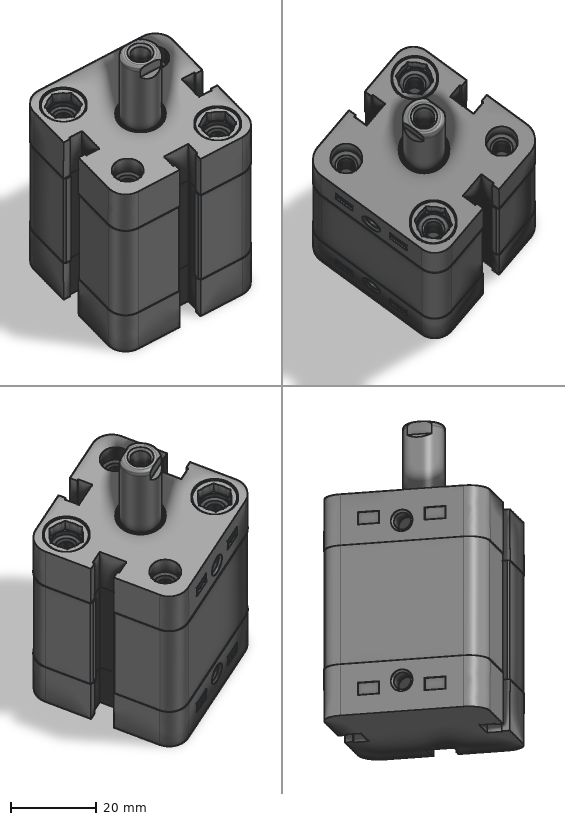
import cadquery as cq
import math

WIDTH = 40.0
CAP_END_WIDTH = 40.1
SEAM_WIDTH = 40.3
CORNER_RADIUS = 5.0
CAP_HEIGHT = 12.5
TUBE_HEIGHT = 29.0
BODY_TOP = 2 * CAP_HEIGHT + TUBE_HEIGHT
TOTAL_HEIGHT = 75.0

SLOT_SIDES = (0, 90, -90)
SLOT_WIDTH = 7.0
SLOT_DEPTH = 5.6
SLOT_LIP = 1.9
CAP_SLOT_OPENING = 6.0
TUBE_SLOT_OPENING = 5.4
TUBE_LIP_CHAMFER = 0.5

MOUNT_OFFSET = 13.0
SCREW_POINTS = [(MOUNT_OFFSET, MOUNT_OFFSET), (-MOUNT_OFFSET, -MOUNT_OFFSET)]
PLAIN_POINTS = [(MOUNT_OFFSET, -MOUNT_OFFSET), (-MOUNT_OFFSET, MOUNT_OFFSET)]
PLAIN_DIAMETER = 7.5
MOUNT_DEPTH = 4.5
SCREW_RIM_OUTER = 11.1
SCREW_RIM_INNER = 10.48
SCREW_RECESS = 0.3
HEX_SIZE = 7.7
HEX_BORE = 8.0
SOCKET_BORE = 7.5
HEX_DEPTH = 3.3
THREAD_DIAMETER = 4.13
THREAD_MOUTH = 5.3
MOUNT_THREAD_DEPTH = 7.0

PORT_HEIGHT = 7.5
PORT_DEPTH = 5.0
PANEL_WIDTH = 5.1
PANEL_HEIGHT = 3.0
PANEL_OFFSET = 8.1
PANEL_LEVEL = 6.2
PANEL_DEPTH = 0.5

ROD_DIAMETER = 10.0
ROD_EDGE_RADIUS = 1.2
ROD_FLATS = 8.0
ROD_FLAT_LENGTH = 3.1
ROD_THREAD_DIAMETER = 4.92
ROD_THREAD_MOUTH = 6.2
ROD_THREAD_DEPTH = 12.0
DRILL_POINT_ANGLE = 118.0
WIPER_SEAT = 12.0
WIPER_FOOT = 11.4
WIPER_LIP = 10.9
WIPER_BORE = 10.48
WIPER_DEPTH = 0.6


def countersunk_hole(plane, diameter, mouth, depth):
    """Cutter for a blind hole with a 45 degree mouth, going down from the plane."""
    sink = (mouth - diameter) / 2
    hole = cq.Workplane(plane).circle(diameter / 2).extrude(-depth)
    cone = cq.Workplane(plane).circle(mouth / 2).extrude(-sink, taper=45)
    return hole.union(cone)


def turned(points):
    """Solid of revolution about Z from (radius, height) points."""
    return cq.Workplane("XZ").polyline(points).close().revolve(360, (0, 0), (0, 1))


def slot_cutter(opening, lip_chamfer, bottom, height):
    """T-slot cutters for every slotted side, over one length of the body."""
    outside = SEAM_WIDTH / 2
    face = WIDTH / 2
    half_opening = opening / 2
    lip_end = face - SLOT_LIP
    half_slot = SLOT_WIDTH / 2
    half_mouth = half_opening + lip_chamfer
    half_outline = [(face - SLOT_DEPTH, half_slot), (lip_end, half_slot), (lip_end, half_opening)]
    if lip_chamfer > 0:
        half_outline.append((face - lip_chamfer, half_opening))
    half_outline += [(face, half_mouth), (outside, half_mouth)]
    mirrored = [(x, -y) for x, y in reversed(half_outline)]
    slot = (
        cq.Workplane("XY")
        .workplane(offset=bottom)
        .polyline(half_outline + mirrored)
        .close()
        .extrude(height)
    )
    cutter = cq.Workplane("XY")
    for angle in SLOT_SIDES:
        cutter = cutter.add(slot.rotate((0, 0, 0), (0, 0, 1), angle))
    return cutter.combine()


def rounded_square(width):
    """Square whose corner arcs keep their centres at every width."""
    radius = CORNER_RADIUS + (width - WIDTH) / 2
    square = cq.Sketch().rect(width, width).vertices().fillet(radius)
    return cq.Workplane("XY").placeSketch(square)


def cap_block():
    """Drafted cap standing on Z = 0, widest at its top, with ports, panels and slots."""
    draft_slope = (SEAM_WIDTH - CAP_END_WIDTH) / 2 / CAP_HEIGHT
    draft = math.degrees(math.atan(draft_slope))
    block = rounded_square(CAP_END_WIDTH).extrude(CAP_HEIGHT, taper=-draft)
    block = block.cut(slot_cutter(CAP_SLOT_OPENING, 0, 0, CAP_HEIGHT))

    port_face = -CAP_END_WIDTH / 2
    port_plane = cq.Plane(origin=(port_face, 0, PORT_HEIGHT), xDir=(0, 1, 0), normal=(-1, 0, 0))
    block = block.cut(countersunk_hole(port_plane, THREAD_DIAMETER, THREAD_MOUTH, PORT_DEPTH))
    block = block.cut(cq.Workplane(port_plane).circle(THREAD_MOUTH / 2).extrude(SEAM_WIDTH - CAP_END_WIDTH))

    panel_face = -(CAP_END_WIDTH / 2 + draft_slope * PANEL_LEVEL)
    for side in (-1, 1):
        panel = cq.Workplane("XY").box(2 * PANEL_DEPTH, PANEL_WIDTH, PANEL_HEIGHT)
        block = block.cut(panel.translate((panel_face, side * PANEL_OFFSET, PANEL_LEVEL)))
    return block


def make_base():
    return cap_block()


def make_tube():
    tube = rounded_square(WIDTH).extrude(TUBE_HEIGHT).translate((0, 0, CAP_HEIGHT))
    return tube.cut(slot_cutter(TUBE_SLOT_OPENING, TUBE_LIP_CHAMFER, CAP_HEIGHT, TUBE_HEIGHT))


def mount_thread(x, y):
    floor = cq.Plane(origin=(x, y, BODY_TOP - MOUNT_DEPTH))
    return countersunk_hole(floor, THREAD_DIAMETER, THREAD_MOUTH, MOUNT_THREAD_DEPTH)


def screw_cutter(x, y):
    """Recess above a screw head, groove along its chamfered rim, and its stepped socket."""
    rim_chamfer = (SCREW_RIM_OUTER - SCREW_RIM_INNER) / 2
    recess = turned([
        (0, 0),
        (SCREW_RIM_OUTER / 2, 0),
        (SCREW_RIM_OUTER / 2, -SCREW_RECESS - rim_chamfer),
        (SCREW_RIM_INNER / 2, -SCREW_RECESS),
        (0, -SCREW_RECESS),
    ])
    hex_corners = HEX_SIZE / math.cos(math.pi / 6)
    hexagon = cq.Workplane("XY").polygon(6, hex_corners).extrude(-HEX_DEPTH)
    hex_bore = cq.Workplane("XY").circle(HEX_BORE / 2).extrude(-HEX_DEPTH)
    lower_bore = cq.Workplane("XY").circle(SOCKET_BORE / 2).extrude(-MOUNT_DEPTH)
    cutter = recess.union(hexagon).union(hex_bore).union(lower_bore)
    return cutter.translate((x, y, BODY_TOP))


def wiper_cutter():
    """Chamfered seat, raised wiper lip and the gap between the lip and the rod."""
    seat_depth = (WIPER_SEAT - WIPER_FOOT) / 2
    lip_top = (WIPER_FOOT - WIPER_LIP) / 2 - seat_depth
    groove = turned([
        (WIPER_SEAT / 2, 0),
        (WIPER_FOOT / 2, -seat_depth),
        (WIPER_LIP / 2, lip_top),
        (WIPER_LIP / 2, 0),
    ])
    gap = turned([
        (0, 0),
        (WIPER_LIP / 2, 0),
        (WIPER_LIP / 2, lip_top),
        (WIPER_BORE / 2, lip_top),
        (WIPER_BORE / 2, -WIPER_DEPTH),
        (0, -WIPER_DEPTH),
    ])
    return groove.union(gap).translate((0, 0, BODY_TOP))


def make_cover():
    """Upper cap: the mirrored cap block with the rod bore and the mounting holes."""
    cover = cap_block().mirror("XY").translate((0, 0, BODY_TOP))
    rod_bore = cq.Workplane("XY").circle(ROD_DIAMETER / 2).extrude(BODY_TOP)
    cover = cover.cut(rod_bore).cut(wiper_cutter())
    for x, y in SCREW_POINTS:
        cover = cover.cut(screw_cutter(x, y)).cut(mount_thread(x, y))
    for x, y in PLAIN_POINTS:
        hole = cq.Workplane("XY").circle(PLAIN_DIAMETER / 2).extrude(-MOUNT_DEPTH)
        cover = cover.cut(hole.translate((x, y, BODY_TOP))).cut(mount_thread(x, y))
    return cover


def make_rod():
    """Rod standing on the tube, with wrench flats and a tapped hole at its free end."""
    rod_bottom = CAP_HEIGHT + TUBE_HEIGHT
    rod = (
        cq.Workplane("XY")
        .workplane(offset=rod_bottom)
        .circle(ROD_DIAMETER / 2)
        .extrude(TOTAL_HEIGHT - rod_bottom)
        .faces(">Z").edges().fillet(ROD_EDGE_RADIUS)
    )

    flat_end = TOTAL_HEIGHT - ROD_FLAT_LENGTH
    flat_depth = (ROD_DIAMETER - ROD_FLATS) / 2
    for side in (-1, 1):
        flat = (
            cq.Workplane("XZ")
            .moveTo(side * ROD_FLATS / 2, TOTAL_HEIGHT)
            .lineTo(side * ROD_FLATS / 2, flat_end)
            .lineTo(side * ROD_DIAMETER / 2, flat_end - flat_depth)
            .lineTo(side * ROD_DIAMETER / 2, TOTAL_HEIGHT)
            .close()
            .extrude(ROD_DIAMETER / 2, both=True)
        )
        rod = rod.cut(flat)

    top = cq.Plane(origin=(0, 0, TOTAL_HEIGHT))
    rod = rod.cut(countersunk_hole(top, ROD_THREAD_DIAMETER, ROD_THREAD_MOUTH, ROD_THREAD_DEPTH))
    point_radius = ROD_THREAD_DIAMETER / 2
    point_depth = point_radius / math.tan(math.radians(DRILL_POINT_ANGLE / 2))
    drill_point = turned([(0, 0), (point_radius, 0), (0, -point_depth)])
    return rod.cut(drill_point.translate((0, 0, TOTAL_HEIGHT - ROD_THREAD_DEPTH)))


base = make_base()
tube = make_tube()
cover = make_cover()
rod = make_rod()

result = cq.Compound.makeCompound([base.val(), tube.val(), cover.val(), rod.val()])